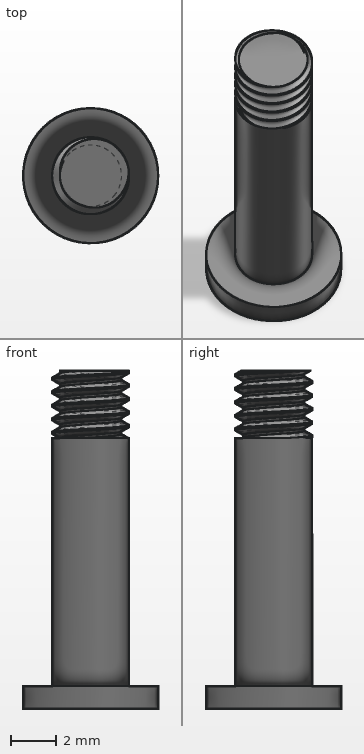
import cadquery as cq
import math

total_length = 15.0
head_diameter = 6.0
head_height = 1.0
shank_diameter = 3.42

thread_length = 3.0
thread_pitch = 0.6
core_diameter = 2.73
flank_angle = 30.0
crest_width = thread_pitch / 8
crest_drop = 0.06
groove_overshoot = 0.05

shoulder_z = total_length - thread_length
core_radius = core_diameter / 2
crest_radius = shank_diameter / 2


def cylinder(diameter, bottom_z, height):
    return cq.Workplane("XY").workplane(offset=bottom_z).circle(diameter / 2).extrude(height)


def thread_groove():
    """Helical groove that runs out past both ends of the threaded length."""
    turns = math.ceil(thread_length / thread_pitch) + 2
    start_z = total_length - crest_drop - (turns - 1.5) * thread_pitch
    mouth_radius = crest_radius + groove_overshoot
    half_crest_gap = (thread_pitch - crest_width) / 2
    flank_slope = math.tan(math.radians(flank_angle))
    half_floor = half_crest_gap - (crest_radius - core_radius) * flank_slope
    half_mouth = half_crest_gap + groove_overshoot * flank_slope

    path = cq.Wire.makeHelix(
        thread_pitch, turns * thread_pitch, core_radius, center=cq.Vector(0, 0, start_z)
    )
    return (
        cq.Workplane("XZ")
        .polyline([
            (core_radius, start_z - half_floor),
            (mouth_radius, start_z - half_mouth),
            (mouth_radius, start_z + half_mouth),
            (core_radius, start_z + half_floor),
        ])
        .close()
        .sweep(cq.Workplane(path), isFrenet=True)
    )


head = cylinder(head_diameter, 0, head_height)
shank = cylinder(shank_diameter, head_height, shoulder_z - head_height)
thread_blank = cylinder(shank_diameter, shoulder_z - thread_length, 3 * thread_length)
trim_block = (
    cq.Workplane("XY")
    .workplane(offset=shoulder_z)
    .rect(head_diameter, head_diameter)
    .extrude(thread_length)
)
threaded_end = thread_blank.cut(thread_groove()).intersect(trim_block)

result = head.union(shank).union(threaded_end)